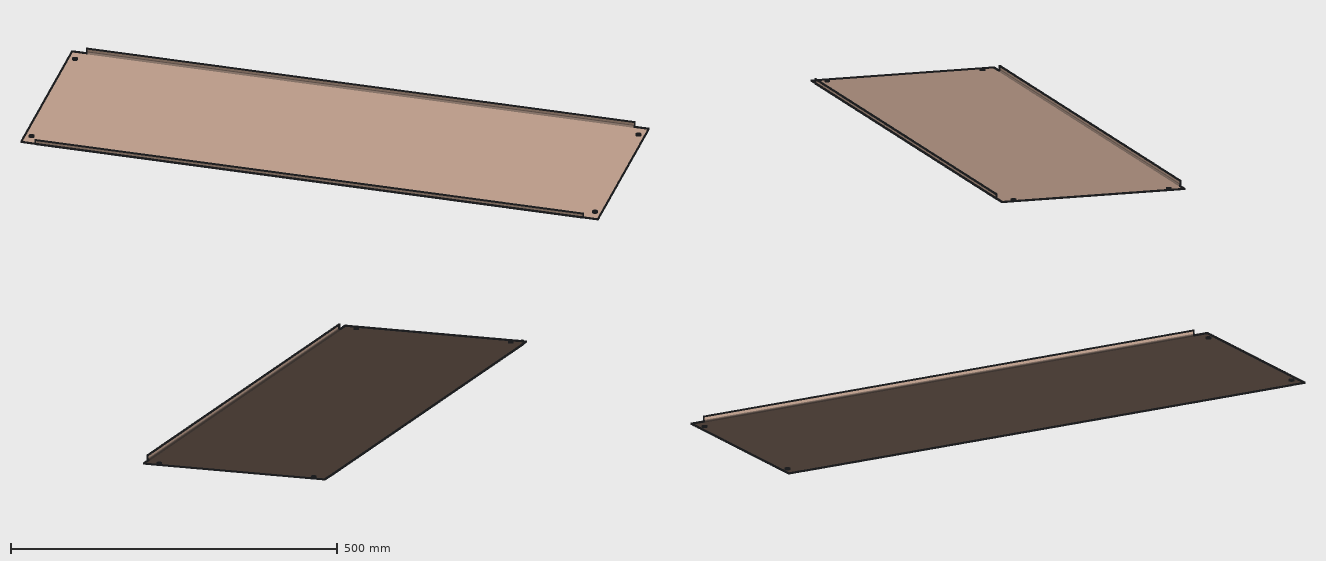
import cadquery as cq

length = 917.0
width = 299.0
height = 8.0
thickness = 1.0
inner_bend_radius = 1.0
outer_bend_radius = inner_bend_radius + thickness

flange_end_setback = 23.0
flange_length = length - 2 * flange_end_setback

hole_diameter = 6.5
hole_spacing_x = 896.0
hole_spacing_y = 251.0

panel_width = width - 2 * outer_bend_radius


def make_panel():
    return cq.Workplane("XY").box(length, panel_width, thickness, centered=(True, True, False))


def make_folded_channel():
    """U-shaped sheet spanning the flange length, with rounded bends."""
    outer = (
        cq.Workplane("XY")
        .box(flange_length, width, height, centered=(True, True, False))
        .edges("|X and <Z")
        .fillet(outer_bend_radius)
    )
    inner = (
        cq.Workplane("XY", origin=(0, 0, thickness))
        .box(flange_length, width - 2 * thickness, height, centered=(True, True, False))
        .edges("|X and <Z")
        .fillet(inner_bend_radius)
    )
    return outer.cut(inner)


def make_corner_holes():
    return (
        cq.Workplane("XY")
        .rect(hole_spacing_x, hole_spacing_y, forConstruction=True)
        .vertices()
        .circle(hole_diameter / 2)
        .extrude(thickness)
    )


result = make_panel().union(make_folded_channel()).cut(make_corner_holes())